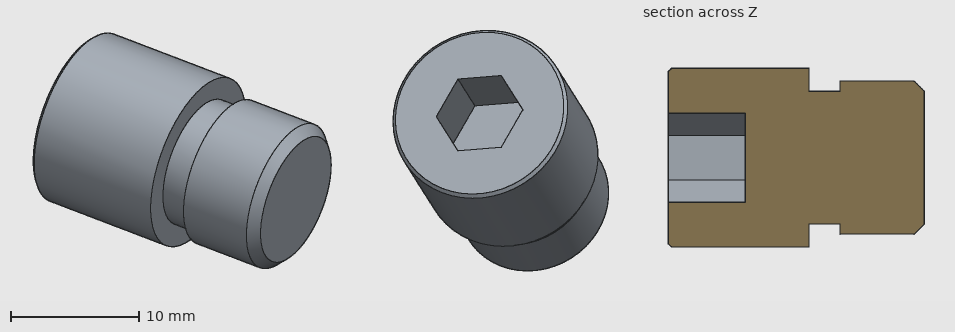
import cadquery as cq
import math

total_length = 20.0
head_diameter = 14.0
head_length = 11.0
head_chamfer = 0.25
neck_diameter = 10.4
neck_length = 2.4
shank_diameter = 12.0
shank_chamfer = 0.8

socket_across_flats = 6.0
socket_depth = 6.0

shank_length = total_length - head_length - neck_length


def cylinder(start, length, diameter):
    """Solid cylinder along +X, beginning at x = start."""
    return cq.Workplane("YZ", origin=(start, 0, 0)).circle(diameter / 2).extrude(length)


head = cylinder(0, head_length, head_diameter).faces("<X").chamfer(head_chamfer)
neck = cylinder(head_length, neck_length, neck_diameter)
shank = cylinder(head_length + neck_length, shank_length, shank_diameter)
shank = shank.faces(">X").chamfer(shank_chamfer)

socket_across_corners = socket_across_flats / math.cos(math.pi / 6)
socket = cq.Workplane("YZ").polygon(6, socket_across_corners).extrude(socket_depth)

result = head.union(neck).union(shank).cut(socket)